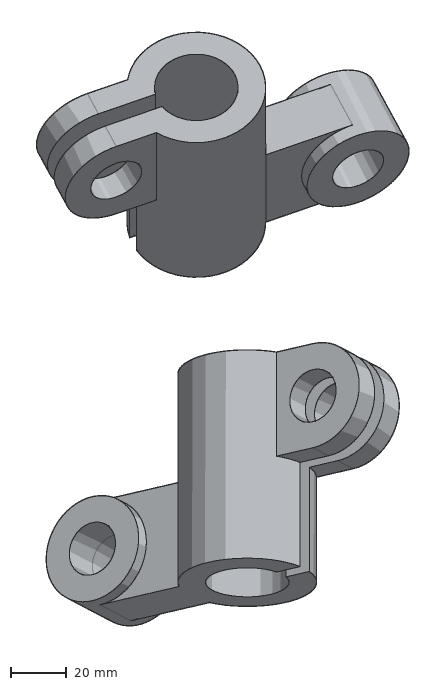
import cadquery as cq

overall_length = 134.0
sleeve_height = 80.0
sleeve_diameter = 50.0
bore_diameter = 30.0
slot_width = 6.0
ear_thickness = 10.0
pivot_length = 30.0
web_width = 20.0
pin_hole_diameter = 20.0
pivot_y = 57.0

end_diameter = sleeve_height / 2
end_radius = end_diameter / 2
pivot_z = end_radius
ear_z = sleeve_height - end_radius
ear_y = -(overall_length - pivot_y - end_diameter)
clamp_width = slot_width + 2 * ear_thickness


def cylinder_along_x(diameter, length, y, z):
    """Cylinder parallel to X, centred on X = 0."""
    return cq.Workplane("YZ").center(y, z).circle(diameter / 2).extrude(length / 2, both=True)


def arm(width, end_y, center_z):
    """Flat arm from the sleeve axis to a rounded end's axis."""
    return (
        cq.Workplane("XY")
        .box(width, abs(end_y), end_diameter)
        .translate((0, end_y / 2, center_z))
    )


body = cq.Workplane("XY").circle(sleeve_diameter / 2).extrude(sleeve_height)

body = body.union(arm(web_width, pivot_y, pivot_z))
body = body.union(cylinder_along_x(end_diameter, pivot_length, pivot_y, pivot_z))

body = body.union(arm(clamp_width, ear_y, ear_z))
body = body.union(cylinder_along_x(end_diameter, clamp_width, ear_y, ear_z))

body = body.cut(cq.Workplane("XY").circle(bore_diameter / 2).extrude(sleeve_height))

slot_length = end_radius - ear_y
slot = (
    cq.Workplane("XY")
    .box(slot_width, slot_length, sleeve_height)
    .translate((0, -slot_length / 2, sleeve_height / 2))
)
body = body.cut(slot)

for hole_y, hole_z in ((pivot_y, pivot_z), (ear_y, ear_z)):
    body = body.cut(cylinder_along_x(pin_hole_diameter, sleeve_diameter, hole_y, hole_z))

result = body